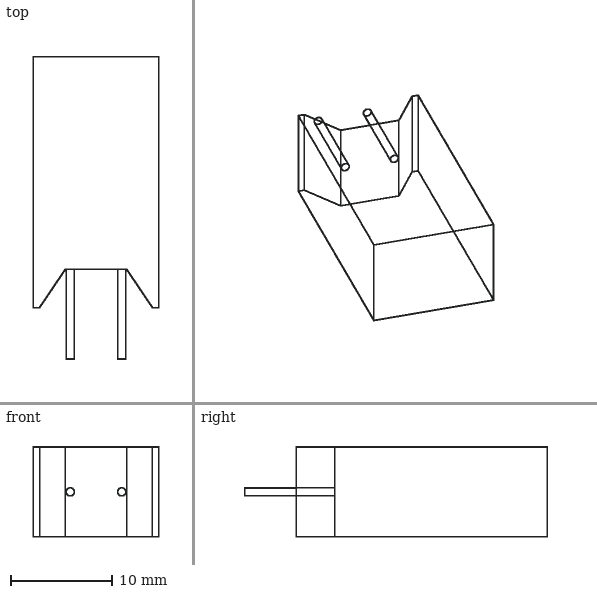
import cadquery as cq

total_length = 29.97
body_width = 12.45
body_height = 8.9
body_length = 24.88

notch_depth = 3.8
notch_floor_width = 6.05
lip_width = 0.63

lead_diameter = 0.8
lead_spacing = 5.1

body_front = total_length - body_length
notch_floor = body_front + notch_depth
notch_mouth_width = body_width - 2 * lip_width


def make_body():
    """Rectangular block with a trapezoidal notch through its full height."""
    outline = [
        (-body_width / 2, body_front),
        (-notch_mouth_width / 2, body_front),
        (-notch_floor_width / 2, notch_floor),
        (notch_floor_width / 2, notch_floor),
        (notch_mouth_width / 2, body_front),
        (body_width / 2, body_front),
        (body_width / 2, total_length),
        (-body_width / 2, total_length),
    ]
    return cq.Workplane("XY").polyline(outline).close().extrude(body_height / 2, both=True)


def make_leads():
    """Two round leads running from their tips to the notch floor."""
    return (
        cq.Workplane("XZ")
        .pushPoints([(-lead_spacing / 2, 0), (lead_spacing / 2, 0)])
        .circle(lead_diameter / 2)
        .extrude(-notch_floor)
    )


result = make_body().union(make_leads())